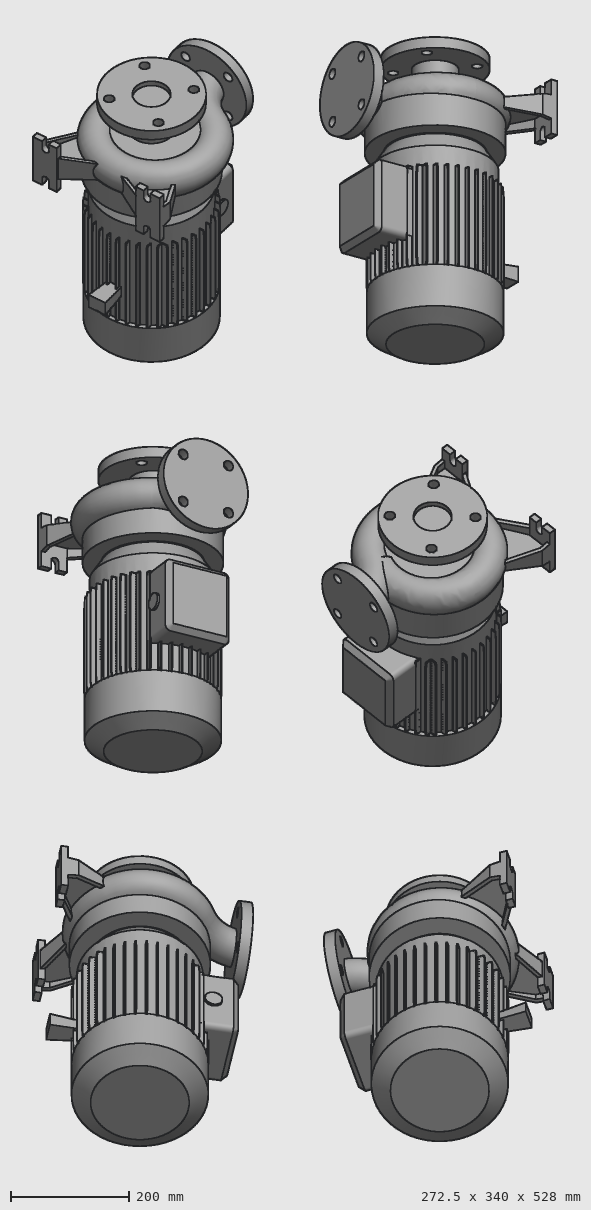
import cadquery as cq
import math


root_overlap = 2

flange_thickness = 20
flange_hole_diameter = 18
flange_hole_count = 4
flange_first_hole_angle = 45
inlet_face_z = 100
inlet_flange_diameter = 185
inlet_bolt_circle = 145
inlet_neck_diameter = 80
inlet_bore_diameter = 65
inlet_bore_depth = 10
outlet_face_y = 180
outlet_flange_diameter = 165
outlet_bolt_circle = 125

tube_radius = 32.5
spiral_radius = 100
spiral_offset_x = 7.5
tongue_radius = spiral_radius - spiral_offset_x
tongue_end_angle = 65
tongue_end_tube_radius = 29.5
crown_radius = tongue_radius
crown_top_z = 23

casing_radius = 119.5
casing_bottom_z = -75
adapter_neck_radius = 88
adapter_cone_top_z = -77
adapter_radius = 107.5
adapter_cone_bottom_z = -107

fins_top_z = -144
fins_bottom_z = -331
fin_tip_radius = 116.7
fin_end_relief = 1.2
fin_end_relief_length = 15
fin_thickness = 2
fin_pitch_angle = 10
fins_per_half_side = 5
motor_quarters = 4
cowl_radius = 116
cowl_cone_top_z = -408
motor_bottom_z = -428
motor_bottom_radius = 83.5

box_width = 124
box_face_y = 160
box_top_z = -143
box_bottom_z = -277
box_corner_radius = 10
box_chamfer = 9.9
cable_boss_radius = 15
cable_boss_y = 115
cable_boss_projection = 4

pad_face_y = -158
pad_width = 35
pad_height = 28
pad_center_z = -266
pad_taper = 4

foot_face_y = -160
foot_plate_thickness = 12
foot_plate_inner_x = 82.5
foot_plate_width = 50
foot_plate_height = 100
foot_slot_x = 106
foot_slot_width = 14
foot_slot_pitch = 70
bracket_wall = 7
bracket_web_half_thickness = 5
bracket_corner_y = -130
bracket_outer_angle = 26
bracket_inner_angle = 29
bracket_outer_end_y = -50
bracket_plate_half_height = 22.3
bracket_height_slope = 0.166


def disc(radius, bottom_z, top_z):
    return cq.Workplane("XY").workplane(offset=bottom_z).circle(radius).extrude(top_z - bottom_z)


def flange(plane, diameter, bolt_circle):
    """Flange with its mating face on the plane, lying behind it, its holes off the plane axes."""
    body = cq.Workplane(plane).circle(diameter / 2).extrude(-flange_thickness)
    holes = (
        cq.Workplane(plane)
        .polarArray(bolt_circle / 2, flange_first_hole_angle, 360, flange_hole_count)
        .circle(flange_hole_diameter / 2)
        .extrude(-flange_thickness)
    )
    return body.cut(holes)


def make_inlet():
    face = cq.Plane(origin=(0, 0, inlet_face_z))
    neck = disc(inlet_neck_diameter / 2, 0, inlet_face_z - flange_thickness)
    bore = disc(inlet_bore_diameter / 2, inlet_face_z - inlet_bore_depth, inlet_face_z)
    return flange(face, inlet_flange_diameter, inlet_bolt_circle).union(neck).cut(bore)


def make_outlet_flange():
    face = cq.Plane(origin=(0, outlet_face_y, 0), xDir=(1, 0, 0), normal=(0, 1, 0))
    return flange(face, outlet_flange_diameter, outlet_bolt_circle)


def make_volute():
    centre_shift = spiral_radius + spiral_offset_x
    centre_distance = (outlet_face_y**2 + centre_shift**2) / (2 * centre_shift)
    bend_radius = centre_distance - spiral_radius
    join_angle = math.asin(outlet_face_y / centre_distance)
    bend_mid_angle = math.pi + join_angle / 2

    start = (spiral_offset_x - spiral_radius, 0)
    join = (
        spiral_offset_x + spiral_radius * math.cos(join_angle),
        spiral_radius * math.sin(join_angle),
    )
    bend_mid = (
        bend_radius + bend_radius * math.cos(bend_mid_angle),
        outlet_face_y + bend_radius * math.sin(bend_mid_angle),
    )
    path = (
        cq.Workplane("XY")
        .moveTo(*start)
        .threePointArc((spiral_offset_x, -spiral_radius), join)
        .threePointArc(bend_mid, (0, outlet_face_y))
    )
    tube = cq.Workplane("XZ").center(start[0], 0).circle(tube_radius).sweep(path)

    tongue_sweep = 180 - tongue_end_angle
    tongue_mid = math.radians(180 - tongue_sweep / 2)
    tongue_end = math.radians(tongue_end_angle)
    tongue_end_point = (tongue_radius * math.cos(tongue_end), tongue_radius * math.sin(tongue_end))
    tongue_path = (
        cq.Workplane("XY")
        .moveTo(*start)
        .threePointArc(
            (tongue_radius * math.cos(tongue_mid), tongue_radius * math.sin(tongue_mid)),
            tongue_end_point,
        )
    )
    end_plane = cq.Plane(
        origin=(*tongue_end_point, 0),
        xDir=(-math.cos(tongue_end), -math.sin(tongue_end), 0),
        normal=(math.sin(tongue_end), -math.cos(tongue_end), 0),
    )
    start_plane = cq.Plane(origin=(*start, 0), xDir=(1, 0, 0), normal=(0, 1, 0))
    tongue = (
        cq.Workplane(start_plane)
        .circle(tube_radius)
        .add(cq.Workplane(end_plane).circle(tongue_end_tube_radius))
        .toPending()
        .sweep(tongue_path, multisection=True)
    )
    return tube.union(tongue)


def make_pump_body_and_motor():
    profile = [
        (0, crown_top_z),
        (crown_radius, crown_top_z),
        (crown_radius, 0),
        (casing_radius, 0),
        (casing_radius, casing_bottom_z),
        (adapter_neck_radius, casing_bottom_z),
        (adapter_neck_radius, adapter_cone_top_z),
        (adapter_radius, adapter_cone_bottom_z),
        (adapter_radius, fins_bottom_z),
        (cowl_radius, fins_bottom_z),
        (cowl_radius, cowl_cone_top_z),
        (motor_bottom_radius, motor_bottom_z),
        (0, motor_bottom_z),
    ]
    return cq.Workplane("XZ").polyline(profile).close().revolve(360, (0, 0), (0, 1))


def make_fins():
    """Straight fins parallel to X or Y, spaced by equal angles on the motor cylinder."""
    length_z = fins_top_z - fins_bottom_z
    mid_z = (fins_top_z + fins_bottom_z) / 2
    fins = cq.Workplane("XY")
    for index in range(fins_per_half_side):
        angle = math.radians(fin_pitch_angle * (index + 0.5))
        offset = adapter_radius * math.sin(angle)
        root = adapter_radius * math.cos(angle) - root_overlap
        depth = fin_tip_radius - root
        for side in (-1, 1):
            fin = (
                cq.Workplane("XY")
                .box(depth, fin_thickness, length_z)
                .translate((root + depth / 2, side * offset, mid_z))
            )
            for turn in range(motor_quarters):
                fins = fins.add(fin.rotate((0, 0, 0), (0, 0, 1), turn * 360 / motor_quarters))
    fins = fins.combine()

    end_radius = fin_tip_radius - fin_end_relief
    relief_arc_radius = (fin_end_relief**2 + fin_end_relief_length**2) / (2 * fin_end_relief)
    envelope = (
        cq.Workplane("XZ")
        .moveTo(0, fins_bottom_z)
        .lineTo(end_radius, fins_bottom_z)
        .radiusArc((fin_tip_radius, fins_bottom_z + fin_end_relief_length), -relief_arc_radius)
        .lineTo(fin_tip_radius, fins_top_z - fin_end_relief_length)
        .radiusArc((end_radius, fins_top_z), -relief_arc_radius)
        .lineTo(0, fins_top_z)
        .close()
        .revolve(360, (0, 0), (0, 1))
    )
    return fins.intersect(envelope)


def make_terminal_box():
    height = box_top_z - box_bottom_z
    mid_z = (box_top_z + box_bottom_z) / 2
    box = (
        cq.Workplane("XY")
        .box(box_width, box_face_y, height)
        .edges("|Y")
        .fillet(box_corner_radius)
        .faces(">Y")
        .chamfer(box_chamfer)
        .translate((0, box_face_y / 2, mid_z))
    )
    boss = (
        cq.Workplane("YZ")
        .center(cable_boss_y, mid_z)
        .circle(cable_boss_radius)
        .extrude(box_width / 2 + cable_boss_projection)
    )
    return box.union(boss)


def make_motor_pad():
    return (
        cq.Workplane(cq.Plane(origin=(0, pad_face_y, pad_center_z), xDir=(1, 0, 0), normal=(0, 1, 0)))
        .rect(pad_width, pad_height)
        .extrude(-pad_face_y - adapter_radius + root_overlap, taper=pad_taper)
    )


def make_foot_plate():
    plate = cq.Workplane("XY").box(foot_plate_width, foot_plate_thickness, foot_plate_height)
    plate = plate.translate(
        (foot_plate_inner_x + foot_plate_width / 2, foot_face_y + foot_plate_thickness / 2, 0)
    )
    for side in (-1, 1):
        slot = (
            cq.Workplane("XZ")
            .center(foot_slot_x, side * foot_plate_height / 2)
            .slot2D(foot_plate_height - foot_slot_pitch + foot_slot_width, foot_slot_width, 90)
            .extrude(-foot_face_y)
        )
        plate = plate.cut(slot)
    return plate


def make_bracket():
    """Two upright walls splayed from the foot plate to the volute, joined by a level web."""
    plate_back_y = foot_face_y + foot_plate_thickness
    outer_x = foot_plate_inner_x + foot_plate_width
    outer_run = bracket_outer_end_y - bracket_corner_y
    inner_slope = math.tan(math.radians(bracket_inner_angle))
    inner_start_y = plate_back_y - bracket_wall / math.cos(math.radians(bracket_inner_angle))
    corners = [
        (outer_x, inner_start_y),
        (outer_x, bracket_corner_y),
        (outer_x - outer_run * math.tan(math.radians(bracket_outer_angle)), bracket_outer_end_y),
        (0, inner_start_y + foot_plate_inner_x * inner_slope),
        (foot_plate_inner_x, inner_start_y),
    ]

    def outline():
        return cq.Workplane("XY").polyline(corners).close()

    block = outline().extrude(foot_plate_height / 2, both=True)
    pocket = outline().offset2D(-bracket_wall).extrude(foot_plate_height / 2, both=True)
    web = outline().extrude(bracket_web_half_thickness, both=True)
    bracket = block.cut(pocket).union(web)

    front_half = bracket_plate_half_height + bracket_height_slope * (plate_back_y - foot_face_y)
    back_half = bracket_plate_half_height - bracket_height_slope * (bracket_outer_end_y - plate_back_y)
    side_profile = (
        cq.Workplane("YZ")
        .polyline(
            [
                (foot_face_y, -front_half),
                (foot_face_y, front_half),
                (bracket_outer_end_y, back_half),
                (bracket_outer_end_y, -back_half),
            ]
        )
        .close()
        .extrude(outer_x)
    )
    return bracket.intersect(side_profile)


foot = make_foot_plate().union(make_bracket())

result = (
    make_pump_body_and_motor()
    .union(make_volute())
    .union(make_inlet())
    .union(make_outlet_flange())
    .union(make_fins())
    .union(make_terminal_box())
    .union(make_motor_pad())
    .union(foot)
    .union(foot.mirror("YZ"))
)